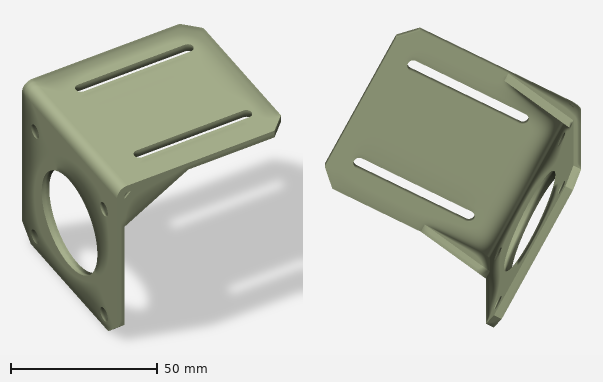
import cadquery as cq

width = 65.0
depth = 68.1
height = 68.0
thickness = 3.0
bend_radius = 4.0
inner_bend_radius = bend_radius - thickness
corner_chamfer = 6.0

bore_diameter = 38.1
bore_drop = 39.0
screw_diameter = 5.25
screw_spacing = 47.2

slot_width = 4.0
slot_length = 46.15
slot_front = 14.0
slot_spacing = 40.0

gusset_thickness = thickness
gusset_reach = 28.05
gusset_drop = 18.0
relief_leg = 2.45


def rounded_block(inset, radius):
    """Block set back from the front and top faces, rounded along the bend edge."""
    return (
        cq.Workplane("XY")
        .box(width, depth, height)
        .translate((0, depth / 2 + inset, -height / 2 - inset))
        .edges("|X and <Y and >Z")
        .fillet(radius)
    )


def bent_plate():
    """L-shaped sheet with a rounded bend and chamfered free corners."""
    outside = rounded_block(0, bend_radius)
    inside = rounded_block(thickness, inner_bend_radius)
    plate = outside.cut(inside)
    plate = plate.edges("|Z and >Y").chamfer(corner_chamfer)
    return plate.edges("|Y and <Z").chamfer(corner_chamfer)


def gusset(left_x):
    """Web across the inside corner, with a small triangular bend relief."""
    relief = thickness + relief_leg
    return (
        cq.Workplane("YZ", origin=(left_x, 0, 0))
        .moveTo(thickness, -relief)
        .lineTo(relief, -thickness)
        .lineTo(gusset_reach, -thickness)
        .lineTo(thickness, -gusset_drop)
        .close()
        .extrude(gusset_thickness)
    )


def motor_holes():
    """Central bore and four screw holes through the upright plate."""
    face = cq.Workplane("XZ", origin=(0, 0, -bore_drop))
    bore = face.circle(bore_diameter / 2).extrude(-thickness)
    screws = (
        face.rect(screw_spacing, screw_spacing, forConstruction=True)
        .vertices()
        .circle(screw_diameter / 2)
        .extrude(-thickness)
    )
    return bore.union(screws)


def adjustment_slots():
    """Pair of slots running front to back through the top plate."""
    return (
        cq.Workplane("XY", origin=(0, slot_front + slot_length / 2, 0))
        .pushPoints([(-slot_spacing / 2, 0), (slot_spacing / 2, 0)])
        .slot2D(slot_length, slot_width, 90)
        .extrude(-thickness)
    )


result = bent_plate()
for gusset_x in (-width / 2, width / 2 - gusset_thickness):
    result = result.union(gusset(gusset_x))
result = result.cut(motor_holes()).cut(adjustment_slots()).clean()